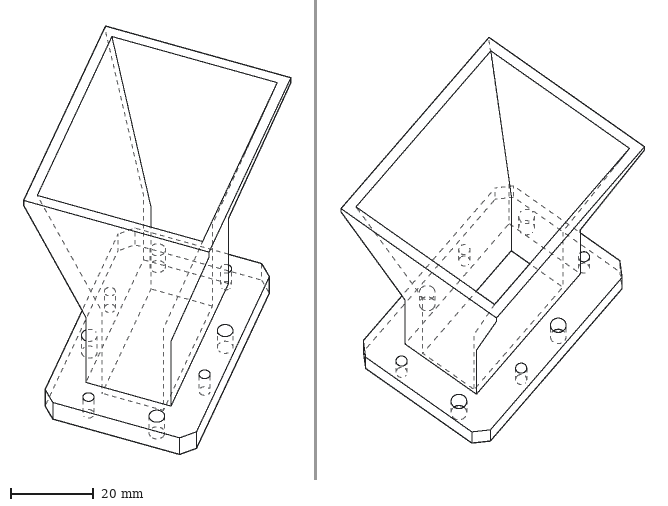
import cadquery as cq


BORE_X = 15.8
BORE_Y = 34.85
NECK_WALL = 3.05
NECK_X = BORE_X + 2 * NECK_WALL
NECK_Y = BORE_Y + 2 * NECK_WALL

MOUTH_X = 47.74
MOUTH_Y = 58.27
MOUTH_WALL = 2.6
APERTURE_X = MOUTH_X - 2 * MOUTH_WALL
APERTURE_Y = MOUTH_Y - 2 * MOUTH_WALL

TOTAL_HEIGHT = 80.0
FLANGE_THICKNESS = 6.35
THROAT_Z = 31.0
RIM_HEIGHT = 1.9
RIM_Z = TOTAL_HEIGHT - RIM_HEIGHT

FLANGE_X = 39.0
FLANGE_Y = MOUTH_Y
FLANGE_CORNER = 3.2

BOLT_HOLE_DIAMETER = 3.8
PIN_HOLE_DIAMETER = 2.7
END_HOLE_X = 8.8
END_HOLE_Y = 24.6
SIDE_HOLE_X = 15.2
SIDE_BOLT_Y = 6.3
SIDE_PIN_Y = 8.3


def block(size_x, size_y, bottom, top):
    """Box centred on the axis between two levels."""
    return cq.Workplane("XY").workplane(offset=bottom).rect(size_x, size_y).extrude(top - bottom)


def flare(bottom_size, top_size, bottom, top):
    """Rectangular frustum centred on the axis between two levels."""
    return (
        cq.Workplane("XY")
        .workplane(offset=bottom)
        .rect(*bottom_size)
        .workplane(offset=top - bottom)
        .rect(*top_size)
        .loft(ruled=True)
    )


def flange_holes(diameter, points):
    """Through-hole cutters at the points and at their half-turn images about the axis."""
    half_turn_points = [(-x, -y) for x, y in points]
    return (
        cq.Workplane("XY")
        .pushPoints(points + half_turn_points)
        .circle(diameter / 2)
        .extrude(FLANGE_THICKNESS)
    )


def make_flange():
    """Flange plate with chamfered corners and its bolt and pin holes."""
    plate = block(FLANGE_X, FLANGE_Y, 0, FLANGE_THICKNESS).edges("|Z").chamfer(FLANGE_CORNER)
    bolt_points = [(-END_HOLE_X, END_HOLE_Y), (-SIDE_HOLE_X, -SIDE_BOLT_Y)]
    pin_points = [(-END_HOLE_X, -END_HOLE_Y), (-SIDE_HOLE_X, SIDE_PIN_Y)]
    plate = plate.cut(flange_holes(BOLT_HOLE_DIAMETER, bolt_points))
    return plate.cut(flange_holes(PIN_HOLE_DIAMETER, pin_points))


def make_horn_body():
    """Solid outside shape above the flange: neck, flare and rim."""
    neck = block(NECK_X, NECK_Y, FLANGE_THICKNESS, THROAT_Z)
    horn = flare((NECK_X, NECK_Y), (MOUTH_X, MOUTH_Y), THROAT_Z, RIM_Z)
    rim = block(MOUTH_X, MOUTH_Y, RIM_Z, TOTAL_HEIGHT)
    return neck.union(horn).union(rim)


def make_passage():
    """Open passage: straight bore up to the throat, then flaring to the aperture."""
    bore = block(BORE_X, BORE_Y, 0, THROAT_Z)
    horn = flare((BORE_X, BORE_Y), (APERTURE_X, APERTURE_Y), THROAT_Z, TOTAL_HEIGHT)
    return bore.union(horn)


result = make_flange().union(make_horn_body()).cut(make_passage())